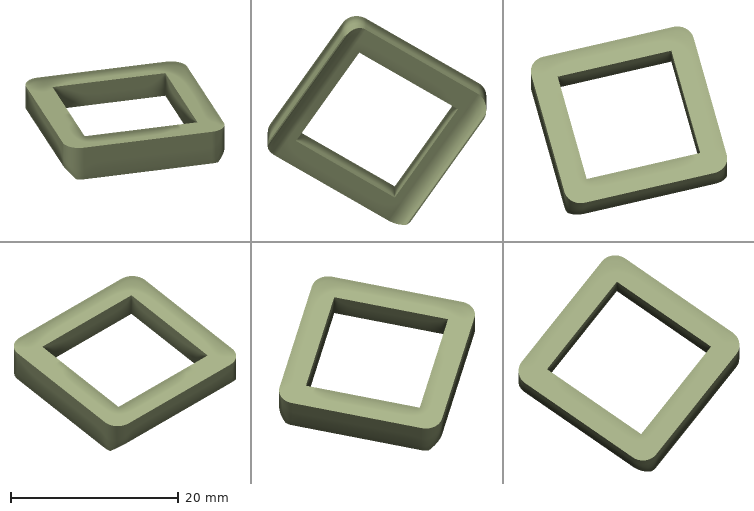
import cadquery as cq

side = 20.0
height = 4.2
opening = 14.0
corner_radius = 2.0

bar_thickness = 3.0
channel_width = side
channel_radius = corner_radius
channel_top = height - bar_thickness


def make_frame():
    """Square ring with rounded outer corners and a sharp square opening."""
    block = cq.Workplane("XY").rect(side, side).extrude(height)
    block = block.edges("|Z").fillet(corner_radius)
    return block.cut(cq.Workplane("XY").rect(opening, opening).extrude(height))


def make_channel():
    """Channel that leaves a thin concave lip along each X side."""
    channel_depth = 2 * channel_radius
    channel = cq.Workplane("XY").box(
        channel_width, side, channel_depth, centered=(True, True, False)
    )
    channel = channel.edges("|Y and >Z").fillet(channel_radius)
    return channel.translate((0, 0, channel_top - channel_depth))


result = make_frame().cut(make_channel())